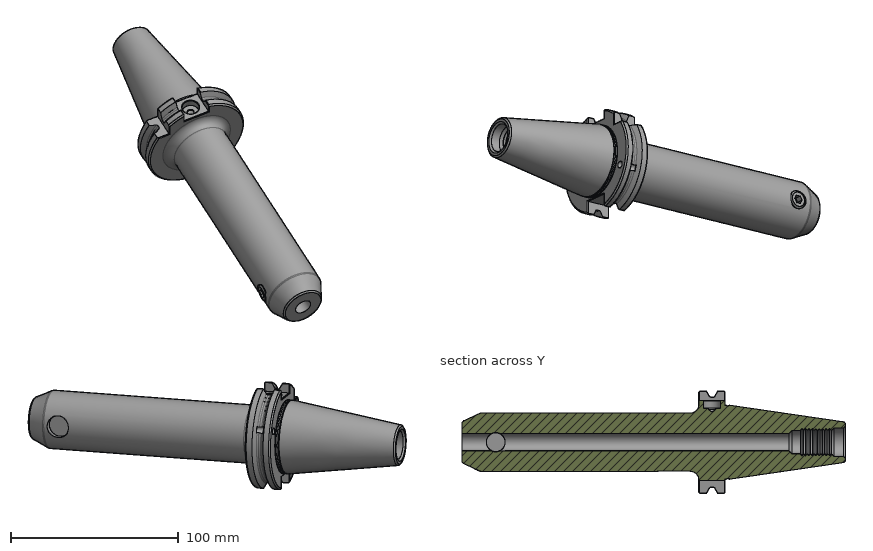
import cadquery as cq
import math

TOTAL_LENGTH = 228.5
TAPER_END_X = 0.0
NOSE_END_X = TAPER_END_X + TOTAL_LENGTH

GAUGE_X = 69.0
GAUGE_RADIUS = 22.2
TAPER_RATIO = 7 / 24
TAPER_END_RADIUS = GAUGE_RADIUS - GAUGE_X * TAPER_RATIO / 2
TAPER_END_CHAMFER = 1.0

RELIEF_DEPTH = 0.35
RELIEF_FLANK = 0.7
RELIEF_FLOOR_WIDTH = 1.0

FLANGE_RADIUS = 31.7
FLANGE_FRONT_X = 71.7
FLANGE_BACK_X = 87.5
FLANGE_CHAMFER = 1.0
GROOVE_X = 79.5
GROOVE_BOTTOM_RADIUS = 28.0
GROOVE_BOTTOM_WIDTH = 1.4
GROOVE_CORNER_RADIUS = 1.1
GROOVE_HALF_ANGLE = math.radians(30)

SLOT_WIDTH = 16.2
SLOT_EDGE_CHAMFER = 0.5
UPPER_SLOT_FLOOR_Z = 25.0
LOWER_SLOT_FLOOR_Z = -22.8
NOTCH_OFFSET = 18.3

CHIP_DIAMETER = 10.0
CHIP_CHAMFER = 0.35
CHIP_DEPTH = 4.5
CHIP_PILOT_DIAMETER = 4.0
CHIP_PILOT_DEPTH = 1.0
DRILL_POINT_ANGLE = 118.0

COOLANT_DIAMETER = 4.0
COOLANT_INLET_RADIUS = 26.3
COOLANT_SLOPE_ANGLE = 20.0
COOLANT_LENGTH = 10.0
COOLANT_TURN = 20.5

SHANK_RADIUS = 17.47
SHANK_FILLET = 5.0
NOSE_START_X = 217.5
NOSE_RADIUS = 12.8
NOSE_BLEND_RADIUS = 1.8
NOSE_CHAMFER = 1.0

TOOL_BORE_RADIUS = 5.0
SOCKET_MOUTH_RADIUS = 9.5
SOCKET_RADIUS = 8.5
SOCKET_DEPTH = 6.9
THREAD_CORE_RADIUS = 6.9
THREAD_END_X = 32.0
THREAD_DEPTH = 1.1
THREAD_PITCH = 2.0
THREAD_GROOVES = 9

SCREW_X = 208.3
SCREW_DIAMETER = 11.2
SCREW_CHAMFER = 1.1
SCREW_HEAD_RADIUS = SHANK_RADIUS
SCREW_TIP_RADIUS = 6.2
HEX_ACROSS_FLATS = 4.5
HEX_DEPTH = 4.5
BALANCE_DIAMETER = 13.2
BALANCE_DEPTH = 4.5


def revolve_profile(points):
    """Solid of revolution about X from (x, radius) points."""
    return cq.Workplane("XZ").polyline(points).close().revolve(360, (0, 0, 0), (1, 0, 0))


def outer_body():
    relief_radius = GAUGE_RADIUS - RELIEF_DEPTH
    relief_end_x = GAUGE_X + RELIEF_FLOOR_WIDTH + 2 * RELIEF_FLANK
    arc_start_radius = SHANK_RADIUS + SHANK_FILLET
    arc_end_x = FLANGE_BACK_X + SHANK_FILLET
    arc_mid = (
        arc_end_x - SHANK_FILLET * math.sqrt(0.5),
        arc_start_radius - SHANK_FILLET * math.sqrt(0.5),
    )
    profile = (
        cq.Workplane("XZ")
        .moveTo(TAPER_END_X, 0)
        .lineTo(TAPER_END_X, TAPER_END_RADIUS - TAPER_END_CHAMFER)
        .lineTo(TAPER_END_X + TAPER_END_CHAMFER, TAPER_END_RADIUS + TAPER_END_CHAMFER * TAPER_RATIO / 2)
        .lineTo(GAUGE_X, GAUGE_RADIUS)
        .lineTo(GAUGE_X + RELIEF_FLANK, relief_radius)
        .lineTo(relief_end_x - RELIEF_FLANK, relief_radius)
        .lineTo(relief_end_x, GAUGE_RADIUS)
        .lineTo(FLANGE_FRONT_X, GAUGE_RADIUS)
        .lineTo(FLANGE_FRONT_X, FLANGE_RADIUS - FLANGE_CHAMFER)
        .lineTo(FLANGE_FRONT_X + FLANGE_CHAMFER, FLANGE_RADIUS)
        .lineTo(FLANGE_BACK_X - FLANGE_CHAMFER, FLANGE_RADIUS)
        .lineTo(FLANGE_BACK_X, FLANGE_RADIUS - FLANGE_CHAMFER)
        .lineTo(FLANGE_BACK_X, arc_start_radius)
        .threePointArc(arc_mid, (arc_end_x, SHANK_RADIUS))
        .lineTo(NOSE_START_X, SHANK_RADIUS)
        .lineTo(NOSE_END_X - NOSE_CHAMFER, NOSE_RADIUS)
        .lineTo(NOSE_END_X, NOSE_RADIUS - NOSE_CHAMFER)
        .lineTo(NOSE_END_X, 0)
        .close()
    )
    body = profile.revolve(360, (0, 0, 0), (1, 0, 0))
    nose_edge = cq.selectors.NearestToPointSelector((NOSE_START_X, 0, 0))
    return body.edges(nose_edge).fillet(NOSE_BLEND_RADIUS)


def gripper_groove():
    """Ring with sloping flanks and rounded bottom corners."""
    flat_half = GROOVE_BOTTOM_WIDTH / 2
    corner_turn = math.pi / 2 - GROOVE_HALF_ANGLE
    center_radius = GROOVE_BOTTOM_RADIUS + GROOVE_CORNER_RADIUS

    def corner_point(turn):
        return (
            flat_half + GROOVE_CORNER_RADIUS * math.sin(turn),
            center_radius - GROOVE_CORNER_RADIUS * math.cos(turn),
        )

    corner_mid = corner_point(corner_turn / 2)
    flank_start = corner_point(corner_turn)
    top_half = flank_start[0] + (FLANGE_RADIUS - flank_start[1]) * math.tan(GROOVE_HALF_ANGLE)
    return (
        cq.Workplane("XZ")
        .moveTo(GROOVE_X - top_half, FLANGE_RADIUS)
        .lineTo(GROOVE_X - flank_start[0], flank_start[1])
        .threePointArc(
            (GROOVE_X - corner_mid[0], corner_mid[1]),
            (GROOVE_X - flat_half, GROOVE_BOTTOM_RADIUS),
        )
        .lineTo(GROOVE_X + flat_half, GROOVE_BOTTOM_RADIUS)
        .threePointArc(
            (GROOVE_X + corner_mid[0], corner_mid[1]),
            (GROOVE_X + flank_start[0], flank_start[1]),
        )
        .lineTo(GROOVE_X + top_half, FLANGE_RADIUS)
        .close()
        .revolve(360, (0, 0, 0), (1, 0, 0))
    )


def axial_bore():
    mouth_chamfer = SOCKET_MOUTH_RADIUS - SOCKET_RADIUS
    socket_end_x = TAPER_END_X + SOCKET_DEPTH
    cone_end_x = THREAD_END_X + THREAD_CORE_RADIUS - TOOL_BORE_RADIUS
    thread_start_x = socket_end_x + SOCKET_RADIUS - THREAD_CORE_RADIUS
    thread = []
    for turn in range(THREAD_GROOVES):
        groove_x = thread_start_x + turn * THREAD_PITCH
        thread.append((groove_x, THREAD_CORE_RADIUS))
        thread.append((groove_x + THREAD_PITCH / 2, THREAD_CORE_RADIUS + THREAD_DEPTH))
    return revolve_profile([
        (TAPER_END_X, 0),
        (TAPER_END_X, SOCKET_MOUTH_RADIUS),
        (TAPER_END_X + mouth_chamfer, SOCKET_RADIUS),
        (socket_end_x, SOCKET_RADIUS),
        *thread,
        (thread_start_x + THREAD_GROOVES * THREAD_PITCH, THREAD_CORE_RADIUS),
        (THREAD_END_X, THREAD_CORE_RADIUS),
        (cone_end_x, TOOL_BORE_RADIUS),
        (NOSE_END_X, TOOL_BORE_RADIUS),
        (NOSE_END_X, 0),
    ])


def flange_cutter(y_min, y_max, z_min, z_max):
    """Box through the thickness of the flange, flared at both faces to chamfer the slot edges."""
    center = ((y_min + y_max) / 2, (z_min + z_max) / 2)
    width = y_max - y_min
    height = z_max - z_min
    flare = 2 * SLOT_EDGE_CHAMFER
    cutter = (
        cq.Workplane("YZ", origin=(FLANGE_FRONT_X, 0, 0))
        .center(*center)
        .rect(width, height)
        .extrude(FLANGE_BACK_X - FLANGE_FRONT_X)
    )
    for face_x, inward in ((FLANGE_FRONT_X, 1), (FLANGE_BACK_X, -1)):
        cutter = cutter.union(
            cq.Workplane("YZ", origin=(face_x, 0, 0))
            .center(*center)
            .rect(width + flare, height + flare)
            .workplane(offset=inward * SLOT_EDGE_CHAMFER)
            .rect(width, height)
            .loft()
        )
    return cutter


def flange_slots():
    half_slot = SLOT_WIDTH / 2
    rim_z = math.sqrt(FLANGE_RADIUS ** 2 - half_slot ** 2)
    flare_bottom_z = rim_z - SLOT_EDGE_CHAMFER
    flare_half = half_slot + FLANGE_RADIUS - flare_bottom_z
    rim_chamfer = (
        cq.Workplane("YZ", origin=(FLANGE_FRONT_X, 0, 0))
        .polyline([
            (-half_slot, flare_bottom_z),
            (half_slot, flare_bottom_z),
            (flare_half, FLANGE_RADIUS),
            (-flare_half, FLANGE_RADIUS),
        ])
        .close()
        .extrude(FLANGE_BACK_X - FLANGE_FRONT_X)
    )
    return (
        rim_chamfer,
        rim_chamfer.mirror("XY"),
        flange_cutter(-half_slot, half_slot, UPPER_SLOT_FLOOR_Z, FLANGE_RADIUS),
        flange_cutter(-half_slot, half_slot, -FLANGE_RADIUS, LOWER_SLOT_FLOOR_Z),
        flange_cutter(-FLANGE_RADIUS, -NOTCH_OFFSET, NOTCH_OFFSET, FLANGE_RADIUS),
    )


def chip_pocket():
    pocket_floor_z = UPPER_SLOT_FLOOR_Z - CHIP_DEPTH
    pilot_radius = CHIP_PILOT_DIAMETER / 2
    point_depth = pilot_radius / math.tan(math.radians(DRILL_POINT_ANGLE / 2))
    pilot_floor_z = pocket_floor_z - CHIP_PILOT_DEPTH
    profile = [
        (0, UPPER_SLOT_FLOOR_Z),
        (CHIP_DIAMETER / 2 + CHIP_CHAMFER, UPPER_SLOT_FLOOR_Z),
        (CHIP_DIAMETER / 2, UPPER_SLOT_FLOOR_Z - CHIP_CHAMFER),
        (CHIP_DIAMETER / 2, pocket_floor_z),
        (pilot_radius, pocket_floor_z),
        (pilot_radius, pilot_floor_z),
        (0, pilot_floor_z - point_depth),
    ]
    pocket = cq.Workplane("XZ").polyline(profile).close().revolve(360, (0, 0, 0), (0, 1, 0))
    return pocket.translate((GROOVE_X, 0, 0))


def coolant_holes():
    slope = math.radians(COOLANT_SLOPE_ANGLE)
    inlet = cq.Vector(FLANGE_FRONT_X, COOLANT_INLET_RADIUS, 0)
    direction = cq.Vector(math.cos(slope), math.sin(slope), 0)
    start = inlet - direction * COOLANT_DIAMETER
    hole = cq.Workplane(
        cq.Solid.makeCylinder(COOLANT_DIAMETER / 2, COOLANT_LENGTH + COOLANT_DIAMETER, start, direction)
    )
    return [
        hole.rotate((0, 0, 0), (1, 0, 0), turn)
        for turn in (COOLANT_TURN, COOLANT_TURN + 180)
    ]


def screw_hole():
    """Hole from the -Y side of the shank into the tool bore."""
    return cq.Workplane("XZ", origin=(SCREW_X, 0, 0)).circle(SCREW_DIAMETER / 2).extrude(SHANK_RADIUS)


def balance_hole():
    """Blind hole in the +Y side of the shank."""
    floor_y = SHANK_RADIUS - BALANCE_DEPTH
    return (
        cq.Workplane("XZ", origin=(SCREW_X, floor_y, 0))
        .circle(BALANCE_DIAMETER / 2)
        .extrude(-BALANCE_DEPTH)
    )


def make_holder():
    holder = outer_body()
    for cutter in (
        gripper_groove(),
        axial_bore(),
        *flange_slots(),
        chip_pocket(),
        *coolant_holes(),
        screw_hole(),
        balance_hole(),
    ):
        holder = holder.cut(cutter)
    return holder


def make_clamping_screw():
    length = SCREW_HEAD_RADIUS - SCREW_TIP_RADIUS
    hex_across_corners = HEX_ACROSS_FLATS / math.cos(math.pi / 6)
    return (
        cq.Workplane("XZ", origin=(SCREW_X, -SCREW_TIP_RADIUS, 0))
        .circle(SCREW_DIAMETER / 2)
        .extrude(length)
        .faces("<Y").chamfer(SCREW_CHAMFER)
        .faces("<Y").workplane()
        .polygon(6, hex_across_corners)
        .cutBlind(-HEX_DEPTH)
    )


holder = make_holder()
clamping_screw = make_clamping_screw()
result = cq.Compound.makeCompound([holder.solids().val(), clamping_screw.solids().val()])